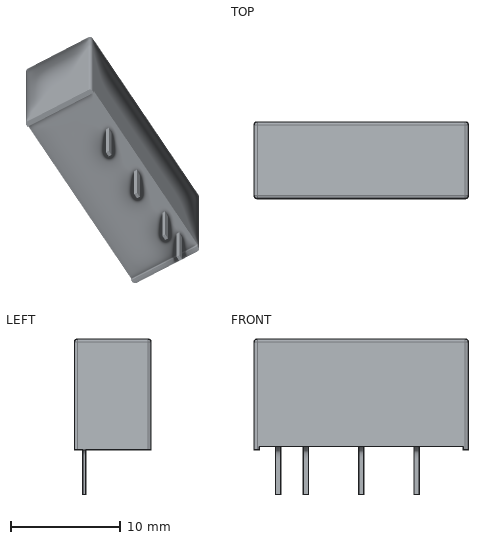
import cadquery as cq

case_length = 19.65
case_width = 7.05
case_height = 10.16
edge_radius = 0.3

foot_length = 0.5
foot_height = 0.3

overall_height = 14.26
pin_pitch = 2.54
pin_slots = (-3, -2, 0, 2)
pin_width = 0.5
pin_thickness = 0.3
pin_row_from_back = 0.92

pin_bottom = case_height - overall_height
pin_row_y = case_width / 2 - pin_row_from_back


def make_case():
    """Block standing on z = 0, rounded on every edge except the bottom ones."""
    block = cq.Workplane("XY").box(case_length, case_width, case_height, centered=(True, True, False))
    return block.edges("|Z or >Z").fillet(edge_radius)


def make_recess():
    """Shallow channel running through the case in Y, between the two feet."""
    recess_length = case_length - 2 * foot_length
    return cq.Workplane("XY").box(recess_length, case_width, foot_height, centered=(True, True, False))


def make_pin(slot):
    """Straight pin in the given pitch slot, from its tip up to the recess ceiling."""
    return (
        cq.Workplane("XY", origin=(slot * pin_pitch, pin_row_y, pin_bottom))
        .rect(pin_width, pin_thickness)
        .extrude(foot_height - pin_bottom)
    )


result = make_case().cut(make_recess())
for pin_slot in pin_slots:
    result = result.union(make_pin(pin_slot))